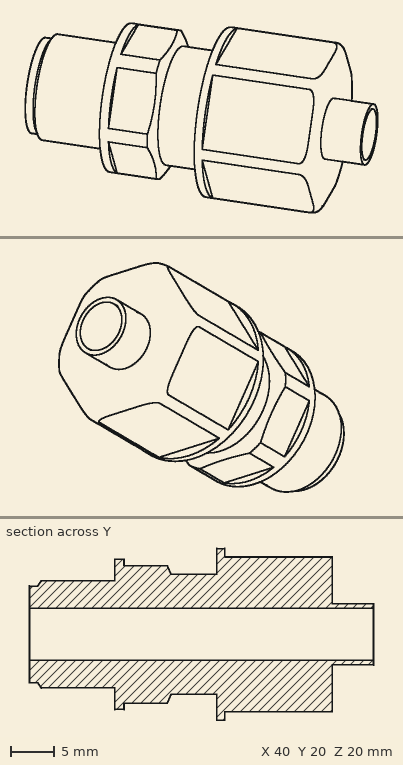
import cadquery as cq

pilot_end = 0.95
spigot_chamfer_end = 1.35
body_start = 9.9
body_flats_start = 11.0
body_taper_start = 15.7
body_taper_end = 16.5
cap_start = 21.75
cap_flats_start = 22.7
cap_end = 35.2
total_length = 40.0

pilot_diameter = 11.3
spigot_diameter = 12.5
body_diameter = 17.5
neck_diameter = 14.0
cap_diameter = 20.0
tube_diameter = 7.15
bore_diameter = 6.0

body_across_flats = 16.0
cap_across_flats = 18.0
cap_rim_radius = 0.8
flat_count = 6


def cylinder(diameter, start, end):
    """Cylinder on the X axis between two stations."""
    return cq.Workplane("YZ").workplane(offset=start).circle(diameter / 2).extrude(end - start)


def cone(start_diameter, end_diameter, start, end):
    """Truncated cone on the X axis between two stations."""
    solid = cq.Solid.makeCone(
        start_diameter / 2,
        end_diameter / 2,
        end - start,
        pnt=cq.Vector(start, 0, 0),
        dir=cq.Vector(1, 0, 0),
    )
    return cq.Workplane(obj=solid)


def cut_flats(blank, across_flats, diameter, start, end):
    """Mill six flats on a round blank, with two of them facing up and down."""
    depth = (diameter - across_flats) / 2
    cutter = cq.Workplane("XY").box(end - start, diameter, depth, centered=(False, True, False))
    cutter = cutter.translate((start, 0, across_flats / 2))
    for index in range(flat_count):
        angle = index * 360 / flat_count
        blank = blank.cut(cutter.rotate((0, 0, 0), (1, 0, 0), angle))
    return blank


def make_spigot():
    """Round spigot with a stepped, chamfered tip."""
    pilot = cylinder(pilot_diameter, 0, pilot_end)
    chamfer = cone(pilot_diameter, spigot_diameter, pilot_end, spigot_chamfer_end)
    return pilot.union(chamfer).union(cylinder(spigot_diameter, spigot_chamfer_end, body_start))


def make_body():
    """Hexagonal body with a round collar and a taper down to the neck."""
    blank = cylinder(body_diameter, body_start, body_taper_start)
    blank = blank.union(cone(body_diameter, neck_diameter, body_taper_start, body_taper_end))
    return cut_flats(blank, body_across_flats, body_diameter, body_flats_start, body_taper_end)


def make_cap():
    """Hexagonal cap nut with a round collar and a rounded rim."""
    blank = cylinder(cap_diameter, cap_start, cap_end).faces(">X").edges().fillet(cap_rim_radius)
    return cut_flats(blank, cap_across_flats, cap_diameter, cap_flats_start, cap_end)


neck = cylinder(neck_diameter, body_taper_end, cap_start)
tube = cylinder(tube_diameter, cap_end, total_length)
bore = cylinder(bore_diameter, 0, total_length)

result = make_spigot().union(make_body()).union(neck).union(make_cap()).union(tube).cut(bore)